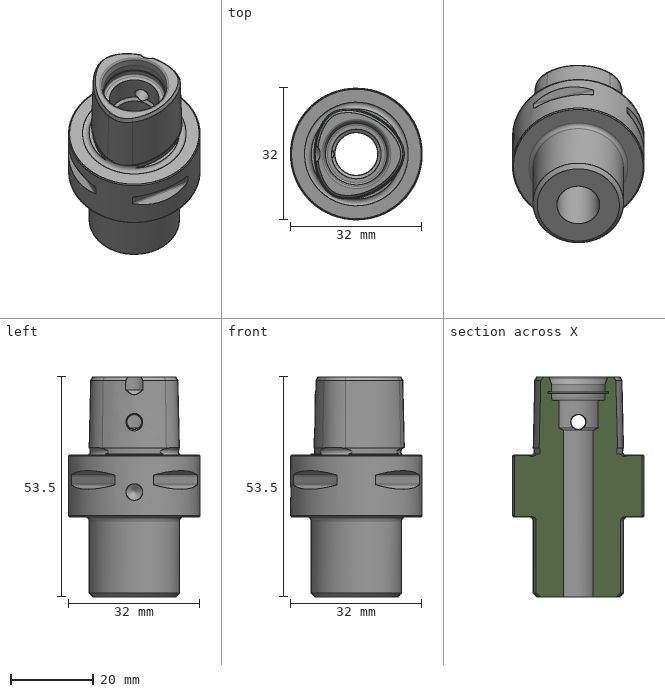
import cadquery as cq
import math

total_height = 53.5
shank_height = 19.0
shank_base_z = total_height - shank_height
flange_height = 15.0
flange_bottom_z = shank_base_z - flange_height

flange_radius = 32.0 / 2
flange_chamfer = 0.25
spigot_radius = 22.0 / 2
spigot_chamfer = 1.0
spigot_fillet = 1.0

lobe_count = 3
lobe_height = 0.7
lobe_half_angle = math.radians(27)
shank_radius_bottom = 10.95
shank_radius_top = 10.6
shank_rim_radius = 10.05
neck_radius = 10.8
rim_chamfer_height = 0.9
taper_bottom_z = 36.15
points_per_face = 9

ledge_height = 0.25
groove_inner_radius = 10.8
groove_arc_radius = 1.05
groove_centre_radius = groove_inner_radius + groove_arc_radius
groove_centre_z = 35.3
groove_rim_drop = groove_centre_z - shank_base_z
groove_rim_radius = groove_centre_radius + math.sqrt(groove_arc_radius**2 - groove_rim_drop**2)

mouth_radius = 16.75 / 2
lead_in_radius = 15.85 / 2
mouth_rounding = mouth_radius - lead_in_radius
upper_bore_radius = 15.0 / 2
upper_bore_depth = 1.8
recess_radius = 16.5 / 2
recess_top_depth = 3.65
recess_width = 0.4
ledge_depth = 5.65
ledge_fillet = 0.5
middle_bore_radius = 12.05 / 2
middle_bore_bottom_z = 41.1
lower_bore_radius = 10.4 / 2
drill_half_angle = math.radians(59)

slot_radius = 2.7
slot_axis_x = -11.45
slot_bottom_z = 50.35
side_hole_radius = 3.6 / 2
side_hole_mouth_radius = 4.2 / 2
side_hole_z = 42.55

dimple_radius = 4.0 / 2
dimple_z = 25.5

gripper_count = 4
gripper_z = 28.45
gripper_floor_width = 2.35
gripper_floor_distance = 14.1
gripper_flank_angle = math.radians(30)
gripper_corner_radius = 0.3

clearance = 1.05


def lobed_point(mean_radius, z, angle):
    """Point of the constant-width outline whose outward normal has the given angle."""
    reach = mean_radius + lobe_height * math.cos(lobe_count * angle)
    slide = -lobe_count * lobe_height * math.sin(lobe_count * angle)
    x = reach * math.cos(angle) - slide * math.sin(angle)
    y = reach * math.sin(angle) + slide * math.cos(angle)
    return cq.Vector(x, y, z)


def lobed_edge(mean_radius, z, start, end):
    """One face-wide stretch of the outline between two normal angles."""
    step = (end - start) / (points_per_face - 1)
    points = [lobed_point(mean_radius, z, start + i * step) for i in range(points_per_face)]
    tangents = [cq.Vector(-math.sin(a), math.cos(a), 0) for a in (start, end)]
    return cq.Edge.makeSpline(points, tangents)


def lobed_wire(mean_radius, z):
    """Closed outline with one edge per lobe and one per flank."""
    pitch = 2 * math.pi / lobe_count
    edges = []
    for lobe in range(lobe_count):
        centre = lobe * pitch
        flank_start = centre + lobe_half_angle
        flank_end = centre + pitch - lobe_half_angle
        edges.append(lobed_edge(mean_radius, z, centre - lobe_half_angle, flank_start))
        edges.append(lobed_edge(mean_radius, z, flank_start, flank_end))
    return cq.Wire.assembleEdges(edges)


def lobed_solid(bottom_radius, bottom_z, top_radius, top_z):
    """Straight-sided solid between two lobed outlines."""
    wires = [lobed_wire(bottom_radius, bottom_z), lobed_wire(top_radius, top_z)]
    return cq.Workplane(cq.Solid.makeLoft(wires, True))


def revolve_profile(sketch):
    """Turn a closed profile drawn in radius and height about the Z axis."""
    return sketch.close().revolve(360, (0, 0, 0), (0, 1, 0))


def make_turned_body():
    """Spigot, flange and the low ledge that carries the shank."""
    ledge_z = shank_base_z + ledge_height
    fillet_z = flange_bottom_z - spigot_fillet
    fillet_radius = spigot_radius + spigot_fillet
    fillet_reach = spigot_fillet * (1 - math.sqrt(0.5))
    profile = (
        cq.Workplane("XZ")
        .lineTo(spigot_radius - spigot_chamfer, 0)
        .lineTo(spigot_radius, spigot_chamfer)
        .lineTo(spigot_radius, fillet_z)
        .threePointArc(
            (spigot_radius + fillet_reach, flange_bottom_z - fillet_reach),
            (fillet_radius, flange_bottom_z),
        )
        .lineTo(flange_radius - flange_chamfer, flange_bottom_z)
        .lineTo(flange_radius, flange_bottom_z + flange_chamfer)
        .lineTo(flange_radius, shank_base_z - flange_chamfer)
        .lineTo(flange_radius - flange_chamfer, shank_base_z)
        .lineTo(groove_centre_radius, shank_base_z)
        .lineTo(groove_centre_radius, ledge_z)
        .lineTo(0, ledge_z)
    )
    return revolve_profile(profile)


def make_shank():
    """Neck, tapered body and chamfered rim of the lobed shank."""
    rim_z = total_height - rim_chamfer_height
    neck = lobed_solid(neck_radius, shank_base_z, neck_radius, taper_bottom_z)
    taper = lobed_solid(shank_radius_bottom, taper_bottom_z, shank_radius_top, rim_z)
    rim = lobed_solid(shank_radius_top, rim_z, shank_rim_radius, total_height)
    return neck.union(taper).union(rim)


def make_ring_groove():
    """Rounded groove in the flange face that also undercuts the three lobes."""
    groove_floor_z = groove_centre_z - groove_arc_radius
    groove_top_z = groove_centre_z + groove_arc_radius
    profile = (
        cq.Workplane("XZ")
        .moveTo(groove_centre_radius, groove_top_z)
        .threePointArc(
            (groove_inner_radius, groove_centre_z),
            (groove_centre_radius, groove_floor_z),
        )
        .radiusArc((groove_rim_radius, shank_base_z), -groove_arc_radius)
        .lineTo(groove_rim_radius, groove_top_z)
    )
    return revolve_profile(profile)


def make_bore():
    """Stepped through bore with a rounded mouth, a narrow recess and a filleted ledge."""
    ledge_z = total_height - ledge_depth
    cone_height = (middle_bore_radius - lower_bore_radius) / math.tan(drill_half_angle)
    recess_top_z = total_height - recess_top_depth
    recess_bottom_z = recess_top_z - recess_width
    profile = (
        cq.Workplane("XZ")
        .lineTo(lower_bore_radius, 0)
        .lineTo(lower_bore_radius, middle_bore_bottom_z - cone_height)
        .lineTo(middle_bore_radius, middle_bore_bottom_z)
        .lineTo(middle_bore_radius, ledge_z)
        .lineTo(upper_bore_radius - ledge_fillet, ledge_z)
        .radiusArc((upper_bore_radius, ledge_z + ledge_fillet), -ledge_fillet)
        .lineTo(upper_bore_radius, recess_bottom_z)
        .lineTo(recess_radius, recess_bottom_z)
        .lineTo(recess_radius, recess_top_z)
        .lineTo(upper_bore_radius, recess_top_z)
        .lineTo(upper_bore_radius, total_height - upper_bore_depth)
        .lineTo(lead_in_radius, total_height - mouth_rounding)
        .radiusArc((mouth_radius, total_height), mouth_rounding)
        .lineTo(0, total_height)
    )
    return revolve_profile(profile)


def make_key_slot():
    """Upright drilled slot with a conical end in the -X flank of the shank."""
    profile = (
        cq.Workplane("XZ")
        .moveTo(0, slot_bottom_z - slot_radius)
        .lineTo(slot_radius, slot_bottom_z)
        .lineTo(slot_radius, total_height + clearance)
        .lineTo(0, total_height + clearance)
    )
    return revolve_profile(profile).translate((slot_axis_x, 0, 0))


def make_side_hole():
    """Radial coolant hole from the -X flank into the bore, with a chamfered mouth."""
    chamfer = side_hole_mouth_radius - side_hole_radius
    taper_height = total_height - rim_chamfer_height - taper_bottom_z
    taper_share = (side_hole_z - taper_bottom_z) / taper_height
    radius_at_hole = shank_radius_bottom + taper_share * (shank_radius_top - shank_radius_bottom)
    mouth_x = radius_at_hole - lobe_height
    hole = cq.Solid.makeCylinder(
        side_hole_radius, mouth_x + clearance, cq.Vector(), cq.Vector(-1, 0, 0)
    )
    mouth = cq.Solid.makeCone(
        side_hole_radius,
        side_hole_mouth_radius + clearance,
        chamfer + clearance,
        cq.Vector(chamfer - mouth_x, 0, 0),
        cq.Vector(-1, 0, 0),
    )
    return cq.Workplane(hole).union(cq.Workplane(mouth)).translate((0, 0, side_hole_z))


def make_dimple():
    """Conical drill mark in the -X side of the flange."""
    depth = dimple_radius / math.tan(drill_half_angle)
    rim_x = math.sqrt(flange_radius**2 - dimple_radius**2)
    cone = cq.Solid.makeCone(
        0, 2 * dimple_radius, 2 * depth, cq.Vector(depth - rim_x, 0, 0), cq.Vector(-1, 0, 0)
    )
    rim = cq.Solid.makeCylinder(
        dimple_radius, flange_radius, cq.Vector(), cq.Vector(-1, 0, 0)
    )
    return cq.Workplane(cone).intersect(cq.Workplane(rim)).translate((0, 0, dimple_z))


def make_gripper_groove():
    """Straight groove with sloping flanks across the +X side of the flange."""
    depth = flange_radius + clearance - gripper_floor_distance
    floor_half = gripper_floor_width / 2
    mouth_half = floor_half + depth * math.tan(gripper_flank_angle)
    return (
        cq.Workplane("XZ", origin=(0, flange_radius, gripper_z))
        .moveTo(gripper_floor_distance, -floor_half)
        .lineTo(gripper_floor_distance + depth, -mouth_half)
        .lineTo(gripper_floor_distance + depth, mouth_half)
        .lineTo(gripper_floor_distance, floor_half)
        .close()
        .extrude(2 * flange_radius)
        .edges("<X and |Y")
        .fillet(gripper_corner_radius)
    )


result = make_turned_body().union(make_shank())
result = result.cut(make_ring_groove()).cut(make_bore())
result = result.cut(make_key_slot()).cut(make_side_hole()).cut(make_dimple())

gripper_pitch = 360 / gripper_count
for index in range(gripper_count):
    turn = (index + 0.5) * gripper_pitch
    result = result.cut(make_gripper_groove().rotate((0, 0, 0), (0, 0, 1), turn))